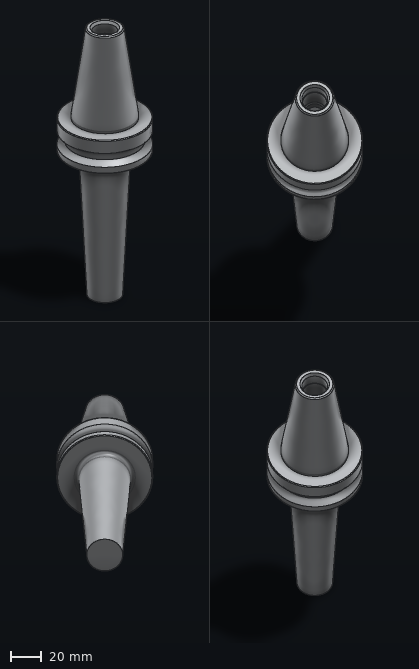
import cadquery as cq
import math

total_length = 200.5
flange_top = 133.0
gauge_height = flange_top + 1.6
flange_thickness = 25.0
flange_bottom = flange_top - flange_thickness
upper_rim_height = 9.6
lower_rim_height = 5.0

nose_tip_radius = 11.8
nose_root_radius = 17.0
root_fillet = 3.0
flange_radius = 31.5
flange_chamfer = 0.6
groove_radius = 26.5
groove_flank_angle = math.radians(30)
gauge_radius = 22.2
shank_taper = 7 / 24
shank_chamfer = 0.8

mouth_radius = 9.6
bore_radius = 8.5
mouth_depth = 2.0
bore_depth = 9.0
thread_radius = 8.0
thread_depth = 24.0
drill_radius = 7.0
drill_depth = 30.0
drill_tip_angle = math.radians(118)

groove_flank_height = (flange_radius - groove_radius) * math.tan(groove_flank_angle)
upper_rim_bottom = flange_top - upper_rim_height
lower_rim_top = flange_bottom + lower_rim_height
shank_end_radius = gauge_radius - (total_length - gauge_height) * shank_taper / 2
step_height = thread_radius - drill_radius
drill_tip_height = drill_radius / math.tan(drill_tip_angle / 2)


def make_body():
    """Revolved nose, grooved flange and tapered shank."""
    fillet_middle = root_fillet * (1 - math.sqrt(0.5))
    profile = (
        cq.Workplane("XZ")
        .lineTo(nose_tip_radius, 0)
        .lineTo(nose_root_radius, flange_bottom - root_fillet)
        .threePointArc(
            (nose_root_radius + fillet_middle, flange_bottom - fillet_middle),
            (nose_root_radius + root_fillet, flange_bottom),
        )
        .lineTo(flange_radius - flange_chamfer, flange_bottom)
        .lineTo(flange_radius, flange_bottom + flange_chamfer)
        .lineTo(flange_radius, lower_rim_top)
        .lineTo(groove_radius, lower_rim_top + groove_flank_height)
        .lineTo(groove_radius, upper_rim_bottom - groove_flank_height)
        .lineTo(flange_radius, upper_rim_bottom)
        .lineTo(flange_radius, flange_top - flange_chamfer)
        .lineTo(flange_radius - flange_chamfer, flange_top)
        .lineTo(gauge_radius, flange_top)
        .lineTo(gauge_radius, gauge_height)
        .lineTo(shank_end_radius, total_length)
        .lineTo(0, total_length)
        .close()
    )
    body = profile.revolve(360, (0, 0, 0), (0, 1, 0))
    return body.faces(">Z").edges().chamfer(shank_chamfer)


def make_bore():
    """Revolved cutter for the countersunk, stepped bore with a drill point."""
    drill_bottom = total_length - drill_depth
    bore_bottom = total_length - bore_depth
    thread_bottom = total_length - thread_depth
    profile = (
        cq.Workplane("XZ")
        .moveTo(0, total_length)
        .lineTo(mouth_radius, total_length)
        .lineTo(bore_radius, total_length - mouth_depth)
        .lineTo(bore_radius, bore_bottom)
        .lineTo(thread_radius, bore_bottom)
        .lineTo(thread_radius, thread_bottom)
        .lineTo(drill_radius, thread_bottom - step_height)
        .lineTo(drill_radius, drill_bottom)
        .lineTo(0, drill_bottom - drill_tip_height)
        .close()
    )
    return profile.revolve(360, (0, 0, 0), (0, 1, 0))


result = make_body().cut(make_bore())